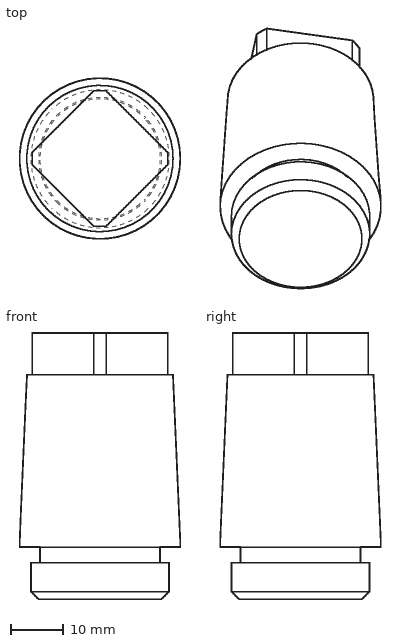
import cadquery as cq

FLANGE_TOP_Z = 7.05
BARREL_BOTTOM_Z = 10.0
TAPER_BOTTOM_Z = 11.0
BARREL_TOP_Z = 43.0
TOTAL_HEIGHT = 51.0

FLANGE_DIAMETER = 26.45
FLANGE_CHAMFER = 1.5
NECK_DIAMETER = 23.0

RIM_DIAMETER = 30.8
BARREL_TOP_DIAMETER = 28.0
HEAD_WIDTH = 20.0
HEAD_CORNER_DIAMETER = 26.0


def make_foot():
    """Flange chamfered at the bottom, with a neck that meets the underside of the plug."""
    flange = (
        cq.Workplane("XY")
        .circle(FLANGE_DIAMETER / 2)
        .extrude(FLANGE_TOP_Z)
        .faces("<Z")
        .chamfer(FLANGE_CHAMFER)
    )
    neck = (
        cq.Workplane("XY")
        .workplane(offset=FLANGE_TOP_Z)
        .circle(NECK_DIAMETER / 2)
        .extrude(BARREL_BOTTOM_Z - FLANGE_TOP_Z)
    )
    return flange.union(neck)


def make_barrel():
    """Round barrel, straight along the rim and then narrowing to its top face."""
    rim_radius = RIM_DIAMETER / 2
    half_profile = (
        cq.Workplane("XZ")
        .moveTo(0, BARREL_BOTTOM_Z)
        .lineTo(rim_radius, BARREL_BOTTOM_Z)
        .lineTo(rim_radius, TAPER_BOTTOM_Z)
        .lineTo(BARREL_TOP_DIAMETER / 2, BARREL_TOP_Z)
        .lineTo(0, BARREL_TOP_Z)
        .close()
    )
    return half_profile.revolve(360, (0, 0, 0), (0, 1, 0))


def make_square_head():
    """Square with its diagonals along X and Y and its four corners turned to a common cylinder."""
    head_height = TOTAL_HEIGHT - BARREL_TOP_Z
    base = cq.Workplane("XY").workplane(offset=BARREL_TOP_Z)
    square = base.transformed(rotate=(0, 0, 45)).rect(HEAD_WIDTH, HEAD_WIDTH).extrude(head_height)
    corner_cylinder = base.circle(HEAD_CORNER_DIAMETER / 2).extrude(head_height)
    return square.intersect(corner_cylinder)


def make_plug():
    """Tapered barrel and the square head on top of it, as one solid."""
    return make_barrel().union(make_square_head())


foot = make_foot()
plug = make_plug()
result = cq.Compound.makeCompound([foot.val(), plug.val()])